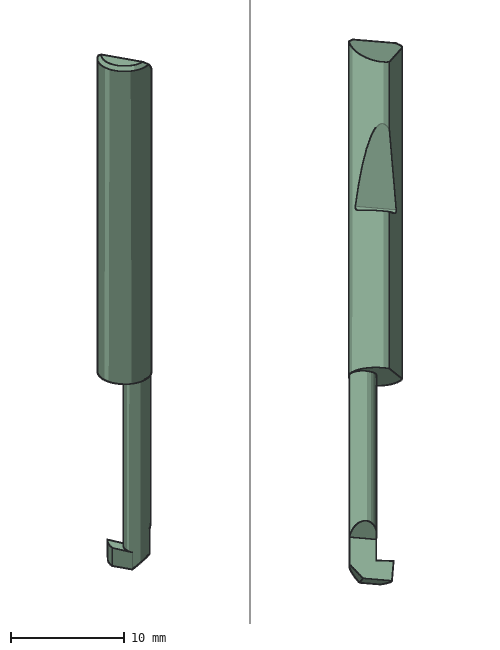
import cadquery as cq
import math

total_length = 50.8
shank_diameter = 4.8
shank_bottom = 19.05
neck_diameter = 2.45
top_chamfer = 0.35

flat_normal_angle = 143.0

slant_start_y = -0.6

notch_top = 42.0
notch_floor_z = 34.15
notch_bottom = 33.8
notch_depth = 1.35
notch_root_radius = 0.4

head_height = 1.9
head_top_drop = 0.15
head_reach = 1.65
head_bottom_reach = 1.45
head_front_start = -0.7
relief_bulge = 0.075
rake_end_z = 3.75

shank_radius = shank_diameter / 2
neck_radius = neck_diameter / 2
neck_x = shank_radius - neck_radius


def extrude_along_x(points):
    """Prism wider than the shank from a list of (Y, Z) points."""
    return cq.Workplane("YZ").polyline(points).close().extrude(shank_radius, both=True)


def make_shank():
    shank = (
        cq.Workplane("XY", origin=(0, 0, shank_bottom))
        .circle(shank_radius)
        .extrude(total_length - shank_bottom)
        .faces(">Z")
        .chamfer(top_chamfer)
    )
    return shank.cut(flat_cutter()).cut(slant_cutter()).cut(notch_cutter())


def flat_cutter():
    flat_distance = shank_radius * math.cos(math.radians(180 - flat_normal_angle))
    return (
        cq.Workplane("XY")
        .box(shank_radius, shank_diameter, total_length, centered=(False, True, False))
        .translate((flat_distance, 0, 0))
        .rotate((0, 0, 0), (0, 0, 1), flat_normal_angle)
    )


def slant_cutter():
    rise = shank_radius - slant_start_y
    return extrude_along_x([
        (slant_start_y, total_length),
        (shank_radius, total_length - rise),
        (shank_radius, total_length),
    ])


def notch_cutter():
    return extrude_along_x([
        (shank_radius, notch_top),
        (shank_radius - notch_depth, notch_floor_z),
        (shank_radius, notch_bottom),
    ]).edges("<Y").fillet(notch_root_radius)


def make_neck():
    neck = cq.Workplane("XY").center(neck_x, 0).circle(neck_radius).extrude(shank_bottom)

    rake_cutter = extrude_along_x([
        (0, 0),
        (neck_radius, 0),
        (neck_radius, rake_end_z + neck_radius),
        (0, rake_end_z),
    ])

    corner_cutter = (
        cq.Workplane("XZ")
        .polyline([(neck_x, 0), (shank_radius, 0), (shank_radius, neck_radius)])
        .close()
        .extrude(neck_radius, both=True)
    )
    return neck.cut(rake_cutter).cut(corner_cutter)


def make_head():
    profile = (
        cq.Workplane("XZ")
        .polyline([
            (-head_bottom_reach, 0),
            (neck_x, 0),
            (neck_x, head_height - head_top_drop),
            (-head_reach, head_height),
        ])
        .close()
        .extrude(neck_radius)
    )
    relief_middle = (
        (head_front_start - head_reach) / 2 - relief_bulge,
        -neck_radius / 2 - relief_bulge,
    )
    plan = (
        cq.Workplane("XY")
        .moveTo(-head_reach, 0)
        .threePointArc(relief_middle, (head_front_start, -neck_radius))
        .lineTo(neck_x, -neck_radius)
        .lineTo(neck_x, 0)
        .close()
        .extrude(head_height)
    )
    return profile.intersect(plan)


result = make_shank().union(make_neck()).union(make_head())